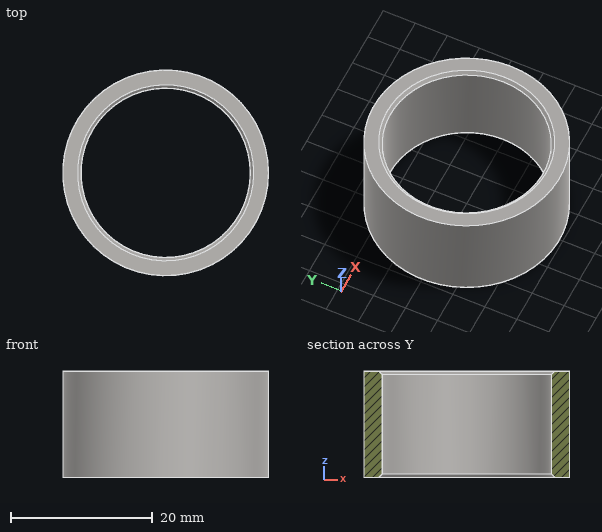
import cadquery as cq

outer_diameter = 29.0
height = 15.0
bore_diameter = 23.8
bore_chamfer = 0.5

sleeve = (
    cq.Workplane("XY")
    .circle(outer_diameter / 2)
    .circle(bore_diameter / 2)
    .extrude(height)
)

bore_edges = sleeve.edges(cq.selectors.RadiusNthSelector(0))
result = bore_edges.chamfer(bore_chamfer)